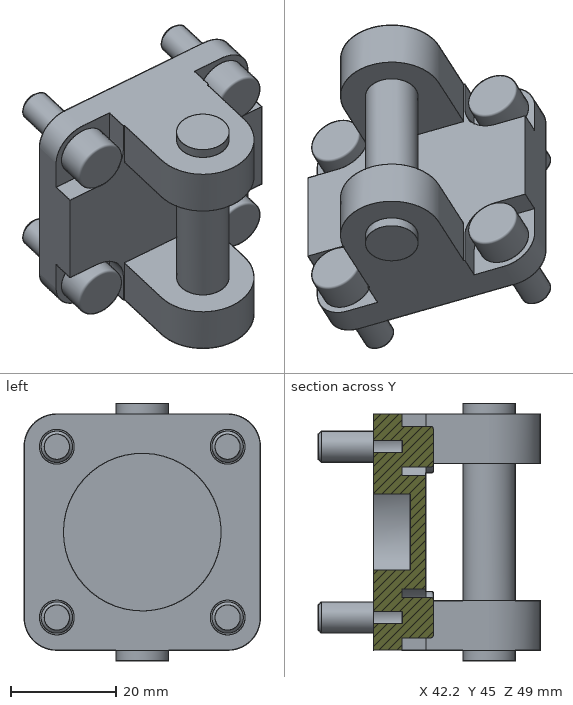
import cadquery as cq

plate_side = 45.0
plate_thickness = 10.0
flange_thickness = 5.5
recess_diameter = 30.0
recess_depth = 7.0

ear_gap = 26.0
ear_radius = 9.75
ear_thickness = (plate_side - ear_gap) / 2
pin_x = 22.0
pin_diameter = 10.0
pin_length = 49

screw_pitch = 32.5
screw_offset = screw_pitch / 2
shank_diameter = 6.0
shank_projection = 10.5
shank_chamfer = 0.6
clearance_diameter = 6.6
head_diameter = 10.0
head_length = 6.0
head_fillet = 0.5

corner_radius = plate_side / 2 - screw_offset
seat_side = 2 * corner_radius
seat_depth = plate_thickness - flange_thickness

screw_points = [(y, z) for y in (-screw_offset, screw_offset) for z in (-screw_offset, screw_offset)]


def make_plate():
    """Square plate with rounded corners and a round recess in its mating face."""
    plate = cq.Workplane("YZ").rect(plate_side, plate_side).extrude(plate_thickness)
    plate = plate.edges("|X").fillet(corner_radius)
    recess = cq.Workplane("YZ").circle(recess_diameter / 2).extrude(recess_depth)
    return plate.cut(recess)


def make_corner_seats():
    """Corner cutters for the screw heads, each rounded on its inner corner."""
    seats = cq.Workplane("YZ", origin=(flange_thickness, 0, 0))
    seats = seats.pushPoints(screw_points).rect(seat_side, seat_side).extrude(seat_depth)
    inner_edges = cq.selectors.BoxSelector(
        (0, -screw_offset, -screw_offset), (plate_thickness, screw_offset, screw_offset)
    )
    return seats.edges("|X").edges(inner_edges).fillet(corner_radius)


def make_clearance_holes():
    """Cutters for the holes through the flange, slightly wider than the screw shanks."""
    return cq.Workplane("YZ").pushPoints(screw_points).circle(clearance_diameter / 2).extrude(flange_thickness)


def make_ear(bottom_z):
    """Tongue running from the back of the plate to a rounded end around the pin axis."""
    return (
        cq.Workplane("XY", origin=(0, 0, bottom_z))
        .moveTo(plate_thickness, -ear_radius)
        .lineTo(pin_x, -ear_radius)
        .threePointArc((pin_x + ear_radius, 0), (pin_x, ear_radius))
        .lineTo(plate_thickness, ear_radius)
        .close()
        .extrude(ear_thickness)
    )


def make_pin():
    return cq.Workplane("XY").center(pin_x, 0).circle(pin_diameter / 2).extrude(pin_length / 2, both=True)


def make_screw(y, z):
    """Cylindrical-head screw seated on the flange, its shank projecting from the mating face."""
    shank = cq.Workplane("YZ", origin=(-shank_projection, y, z)).circle(shank_diameter / 2)
    shank = shank.extrude(shank_projection + flange_thickness).faces("<X").chamfer(shank_chamfer)
    head = cq.Workplane("YZ", origin=(flange_thickness, y, z)).circle(head_diameter / 2)
    head = head.extrude(head_length).faces(">X").edges().fillet(head_fillet)
    return shank.union(head)


result = make_plate().cut(make_corner_seats()).cut(make_clearance_holes())
for bottom_z in (-plate_side / 2, ear_gap / 2):
    result = result.union(make_ear(bottom_z))
result = result.union(make_pin())
for y, z in screw_points:
    result = result.union(make_screw(y, z))